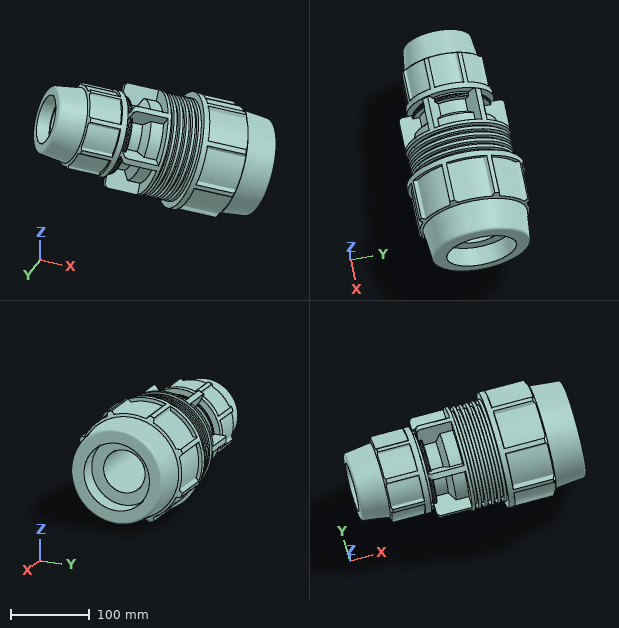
import cadquery as cq
import math

LENGTH = 291.0

SMALL_TIP_RADIUS = 44.2
SMALL_TIP_ROUND = 3.8
SMALL_TAPER_END = 36.5
SMALL_TAPER_RADIUS = 49.2
SMALL_RIB_START = 39.0
SMALL_BODY_RADIUS = 53.0
SMALL_RADIUS = 56.5
SMALL_FLANGE_START = 81.0
SMALL_FLANGE_END = 88.8
SMALL_RIB_TOP_HALF_WIDTH = 3.0
SMALL_RIB_FOOT_HALF_WIDTH = 4.7
SMALL_RIB_FOOT_ROUND = 1.7

LARGE_TIP_RADIUS = 63.5
LARGE_TIP_ROUND = 4.0
LARGE_TAPER_START = 249.5
LARGE_TAPER_RADIUS = 67.5
LARGE_RIB_END = 245.3
LARGE_BODY_RADIUS = 71.0
LARGE_RADIUS = 76.0
LARGE_FLANGE_START = 185.0
LARGE_FLANGE_END = 193.0
LARGE_RIB_TOP_HALF_WIDTH = 3.2
LARGE_RIB_FOOT_HALF_WIDTH = 5.5
LARGE_RIB_FOOT_ROUND = 1.0

NUT_RIB_COUNT = 8
CUT_CLEARANCE = 3.0

NECK_RADIUS = 45.25
DISC_START = 93.0
DISC_END = 97.8
DISC_RADIUS = 51.0
DISC_CHAMFER_LENGTH = 1.5
DISC_CHAMFER_DEPTH = 1.0
WAIST_RADIUS = 41.5
CONE_START = 115.0
CONE_END = 122.0
SHOULDER_RADIUS = 53.3
COLLAR_START = 138.8
COLLAR_END = 143.2
COLLAR_RADIUS = 68.5

THREAD_ROOT_RADIUS = 60.8
THREAD_RADIUS = 67.08
THREAD_START = 147.5
THREAD_PITCH = 8.5
THREAD_WIDTH = 4.0
THREAD_COUNT = 5

WING_COUNT = 6
WING_THICKNESS = 8.0
WING_CORNER_ROUND = 5.8

BORE_RADIUS = 28.5
SMALL_SOCKET_RADIUS = 31.5
SMALL_SOCKET_DEPTH = 17.5
LARGE_SOCKET_RADIUS = 44.95
LARGE_SOCKET_DEPTH = 24.7


def cylinder(start, end, radius):
    return cq.Workplane("YZ", origin=(start, 0, 0)).circle(radius).extrude(end - start)


def revolve_profile(points):
    """Turn (x, radius) points, closed along the axis, about X."""
    outline = [(points[0][0], 0)] + points + [(points[-1][0], 0)]
    return cq.Workplane("XY").polyline(outline).close().revolve(360, (0, 0, 0), (1, 0, 0))


def polar(radius, angle):
    return radius * math.cos(angle), radius * math.sin(angle)


def cut_nut_panels(nut, start, end, body_radius, rib_radius, top_half_width, foot_half_width, foot_round):
    """Sink the panels between the ribs, leaving ribs with sloping sides."""
    half_pitch = math.pi / NUT_RIB_COUNT
    side_slope = (foot_half_width - top_half_width) / (rib_radius - body_radius)
    clear_radius = rib_radius + CUT_CLEARANCE
    clear_half_width = top_half_width - side_slope * CUT_CLEARANCE
    foot = half_pitch - math.asin(foot_half_width / body_radius)
    top = half_pitch - math.asin(clear_half_width / clear_radius)
    panel = (
        cq.Workplane("YZ", origin=(start, 0, 0))
        .moveTo(*polar(body_radius, -foot))
        .threePointArc((body_radius, 0), polar(body_radius, foot))
        .lineTo(*polar(clear_radius, top))
        .threePointArc((clear_radius, 0), polar(clear_radius, -top))
        .close()
        .extrude(end - start)
        .edges("|X and <Y")
        .fillet(foot_round)
    )
    for index in range(NUT_RIB_COUNT):
        nut = nut.cut(panel.rotate((0, 0, 0), (1, 0, 0), index * 360 / NUT_RIB_COUNT))
    return nut


def make_small_nut():
    nut = revolve_profile([
        (0, SMALL_TIP_RADIUS),
        (SMALL_TAPER_END, SMALL_TAPER_RADIUS),
        (SMALL_RIB_START, SMALL_RADIUS),
        (SMALL_FLANGE_END, SMALL_RADIUS),
    ])
    nut = nut.faces("<X").edges().fillet(SMALL_TIP_ROUND)
    return cut_nut_panels(
        nut, SMALL_TAPER_END, SMALL_FLANGE_START, SMALL_BODY_RADIUS, SMALL_RADIUS,
        SMALL_RIB_TOP_HALF_WIDTH, SMALL_RIB_FOOT_HALF_WIDTH, SMALL_RIB_FOOT_ROUND,
    )


def make_large_nut():
    nut = revolve_profile([
        (LARGE_FLANGE_START, LARGE_RADIUS),
        (LARGE_RIB_END, LARGE_RADIUS),
        (LARGE_TAPER_START, LARGE_TAPER_RADIUS),
        (LENGTH, LARGE_TIP_RADIUS),
    ])
    nut = nut.faces(">X").edges().fillet(LARGE_TIP_ROUND)
    return cut_nut_panels(
        nut, LARGE_FLANGE_END, LARGE_TAPER_START, LARGE_BODY_RADIUS, LARGE_RADIUS,
        LARGE_RIB_TOP_HALF_WIDTH, LARGE_RIB_FOOT_HALF_WIDTH, LARGE_RIB_FOOT_ROUND,
    )


def make_reducer():
    disc_rim = DISC_RADIUS - DISC_CHAMFER_DEPTH
    return revolve_profile([
        (SMALL_FLANGE_END, NECK_RADIUS),
        (DISC_START, NECK_RADIUS),
        (DISC_START, disc_rim),
        (DISC_START + DISC_CHAMFER_LENGTH, DISC_RADIUS),
        (DISC_END - DISC_CHAMFER_LENGTH, DISC_RADIUS),
        (DISC_END, disc_rim),
        (DISC_END, WAIST_RADIUS),
        (CONE_START, WAIST_RADIUS),
        (CONE_END, SHOULDER_RADIUS),
        (COLLAR_START, SHOULDER_RADIUS),
        (COLLAR_START, COLLAR_RADIUS),
        (COLLAR_END, COLLAR_RADIUS),
        (COLLAR_END, THREAD_ROOT_RADIUS),
        (LARGE_FLANGE_START, THREAD_ROOT_RADIUS),
    ])


def make_wings():
    """Plates from side to side, trimmed to the collar radius."""
    length = COLLAR_END - DISC_START
    plate = (
        cq.Workplane("XY")
        .box(length, 2 * COLLAR_RADIUS, WING_THICKNESS, centered=(False, True, True))
        .translate((DISC_START, 0, 0))
        .edges("|Z and <X")
        .fillet(WING_CORNER_ROUND)
    )
    wings = plate
    for index in range(1, WING_COUNT // 2):
        wings = wings.union(plate.rotate((0, 0, 0), (1, 0, 0), index * 360 / WING_COUNT))
    return wings.intersect(cylinder(DISC_START, COLLAR_END, COLLAR_RADIUS))


def make_thread():
    thread = cylinder(THREAD_START, THREAD_START + THREAD_WIDTH, THREAD_RADIUS)
    for ring in range(1, THREAD_COUNT):
        start = THREAD_START + ring * THREAD_PITCH
        end = min(start + THREAD_WIDTH, LARGE_FLANGE_START)
        thread = thread.union(cylinder(start, end, THREAD_RADIUS))
    return thread


def make_bore():
    through = cylinder(0, LENGTH, BORE_RADIUS)
    small_socket = cylinder(0, SMALL_SOCKET_DEPTH, SMALL_SOCKET_RADIUS)
    large_socket = cylinder(LENGTH - LARGE_SOCKET_DEPTH, LENGTH, LARGE_SOCKET_RADIUS)
    return through.union(small_socket).union(large_socket)


reducer = make_reducer().union(make_wings()).union(make_thread())
nuts = make_small_nut().union(make_large_nut())
result = reducer.union(nuts).cut(make_bore())